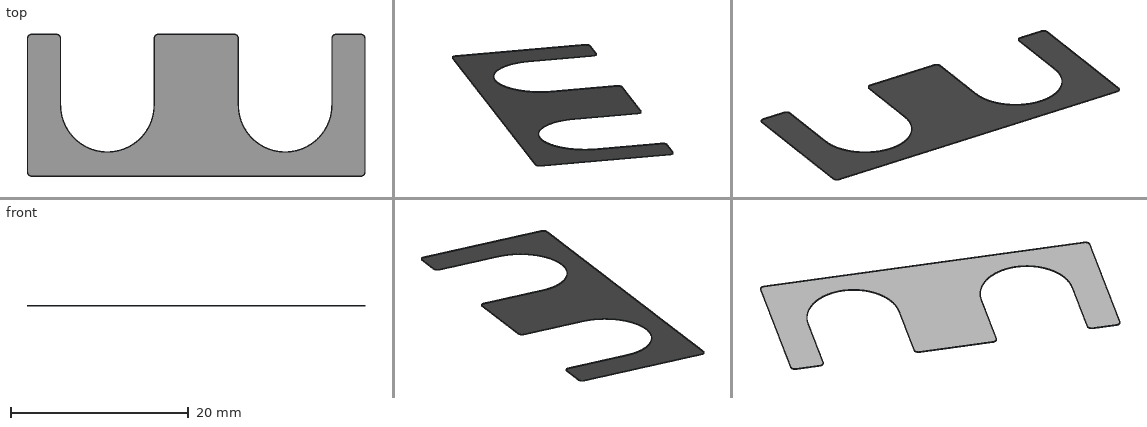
import cadquery as cq

length = 38.0
width = 16.0
thickness = 0.1
corner_radius = 0.5

slot_width = 10.5
slot_spacing = 20.0
slot_end_y = 0.0


def plate():
    """Rectangular sheet centred on the origin in X and Y."""
    return cq.Workplane("XY").box(length, width, thickness, centered=(True, True, False))


def open_slot(center_x):
    """Cutter for one slot: a round end plus a straight run out to the +Y edge."""
    run_length = width / 2 - slot_end_y
    round_end = cq.Workplane("XY").center(center_x, slot_end_y).circle(slot_width / 2).extrude(thickness)
    straight_run = (
        cq.Workplane("XY")
        .center(center_x, slot_end_y + run_length / 2)
        .rect(slot_width, run_length)
        .extrude(thickness)
    )
    return round_end.union(straight_run)


shim = plate()
for side in (-1, 1):
    shim = shim.cut(open_slot(side * slot_spacing / 2))

corner_edges = shim.edges("|Z and (>Y or <Y)")
result = corner_edges.fillet(corner_radius)